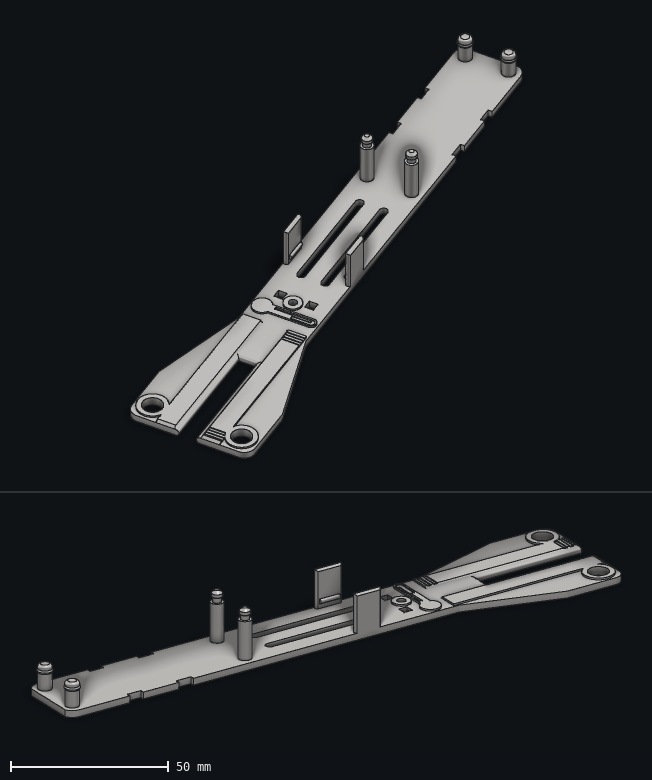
import cadquery as cq
import math

LENGTH = 204.9
PLATE_THICKNESS = 2.5
STRIP_HALF_WIDTH = 12.0
LEG_HALF_WIDTH = 22.1
TAPER_FRONT_Y = 22.1
TAPER_REAR_Y = 56.7
FRONT_CORNER_RADIUS = 3.9

NOTCH_SPANS = [(157.7, 163.3), (176.8, 182.0)]
NOTCH_DEPTH = 1.5

GAP_HALF_WIDTH = 4.3
GAP_END_Y = 41.4
EDGE_RADIUS = PLATE_THICKNESS / 2

RELIEF_HEIGHT = 0.6
RELIEF_TOP = PLATE_THICKNESS + RELIEF_HEIGHT
PAD_OUTER_X = 11.5
PAD_REAR_Y = 58.4
PAD_FRONT_SLOPE = 1.2
GROOVE_WIDTH = 1.2
GROOVE_DEPTH = 0.3
GROOVE_FRONT_YS = [1.8, 4.3, 53.7, 56.1]

LEG_HOLE_X = 16.0
LEG_HOLE_Y = 6.4
LEG_HOLE_DIAMETER = 7.0
LEG_RING_DIAMETER = 10.7

BOSS_Y = 70.7
BOSS_DIAMETER = 6.4
BOSS_HOLE_DIAMETER = 2.9
SQUARE_HOLE_SIZE = 3.0
SQUARE_HOLE_X = 5.5
SQUARE_HOLE_Y = 72.7
BULB_X = -8.0
BULB_Y = 65.0
BULB_DIAMETER = 7.0
STEM_WIDTH = 3.7
STEM_END_X = 11.5
STEM_RIM = 0.6
STEM_POCKET_X = 2.9
STEM_POCKET_DEPTH = 0.3
CHANNEL_START_X = -3.7
CHANNEL_END_X = 9.2
CHANNEL_WIDTH = 1.0

SLOT_X = 4.3
SLOT_WIDTH = 2.9
SLOT_FRONT_Y = 83.0
SLOT_REAR_Y = 125.0

TAB_THICKNESS = 1.8
TAB_FRONT_Y = 86.3
TAB_REAR_Y = 96.0
TAB_TOP = 16.0
TAB_CROWN = 0.6
BEAD_RADIUS = 0.8
BEAD_LENGTH = 7.4
BEAD_Z = 5.0

PIN_X = 8.0
PIN_Y = 135.5
PIN_DIAMETER = 4.5
PIN_SHOULDER_Z = 16.0
NECK_DIAMETER = 2.9
HEAD_DIAMETER = 3.7
HEAD_BOTTOM_Z = 17.8
HEAD_TOP_Z = 20.0
HEAD_CHAMFER = 1.0

POST_X = 7.8
POST_Y = 201.0
POST_DIAMETER = 4.7
POST_TOP = 11.0
POST_TOP_DIAMETER = 2.9
DOME_MIDDLE = (2.3, 10.5)
COLLAR_DIAMETER = 5.3
COLLAR_BOTTOM_Z = 8.2
COLLAR_TOP_Z = 9.5
REAR_CORNER_RADIUS = STRIP_HALF_WIDTH - POST_X


def box(x0, x1, y0, y1, z0, z1):
    return cq.Workplane("XY").box(x1 - x0, y1 - y0, z1 - z0, centered=False).translate((x0, y0, z0))


def cylinder(x, y, diameter, z0, z1):
    return cq.Workplane("XY", origin=(x, y, z0)).circle(diameter / 2).extrude(z1 - z0)


def both_sides(body):
    return body.union(body.mirror("YZ"))


def plate():
    rear_offset = LENGTH - POST_Y
    corner_x = POST_X + math.sqrt(REAR_CORNER_RADIUS**2 - rear_offset**2)
    middle_angle = math.atan2(rear_offset, corner_x - POST_X) / 2
    middle = (
        POST_X + REAR_CORNER_RADIUS * math.cos(middle_angle),
        POST_Y + REAR_CORNER_RADIUS * math.sin(middle_angle),
    )
    half = (
        cq.Workplane("XY")
        .moveTo(0, 0)
        .lineTo(LEG_HALF_WIDTH, 0)
        .lineTo(LEG_HALF_WIDTH, TAPER_FRONT_Y)
        .lineTo(STRIP_HALF_WIDTH, TAPER_REAR_Y)
        .lineTo(STRIP_HALF_WIDTH, POST_Y)
        .threePointArc(middle, (corner_x, LENGTH))
        .lineTo(0, LENGTH)
        .close()
        .extrude(PLATE_THICKNESS)
    )
    front_corner = cq.selectors.NearestToPointSelector((LEG_HALF_WIDTH, 0, PLATE_THICKNESS / 2))
    half = half.edges(front_corner).fillet(FRONT_CORNER_RADIUS)
    for front_y, rear_y in NOTCH_SPANS:
        notch_x = STRIP_HALF_WIDTH - NOTCH_DEPTH
        half = half.cut(box(notch_x, STRIP_HALF_WIDTH, front_y, rear_y, 0, PLATE_THICKNESS))
    half = half.cut(box(0, GAP_HALF_WIDTH, 0, GAP_END_Y, 0, PLATE_THICKNESS))
    side_edge = (
        cq.Workplane("XZ", origin=(GAP_HALF_WIDTH, 0, EDGE_RADIUS))
        .circle(EDGE_RADIUS)
        .extrude(-GAP_END_Y)
    )
    end_edge = (
        cq.Workplane("YZ", origin=(0, GAP_END_Y, EDGE_RADIUS))
        .circle(EDGE_RADIUS)
        .extrude(GAP_HALF_WIDTH)
    )
    return both_sides(half.union(side_edge).union(end_edge))


def leg_pad():
    inner_top_x = GAP_HALF_WIDTH + RELIEF_HEIGHT
    bend = RELIEF_HEIGHT * math.sqrt(0.5)
    pad = (
        cq.Workplane("XZ")
        .moveTo(GAP_HALF_WIDTH, PLATE_THICKNESS)
        .threePointArc(
            (GAP_HALF_WIDTH + bend, RELIEF_TOP - bend),
            (inner_top_x, RELIEF_TOP),
        )
        .lineTo(PAD_OUTER_X, RELIEF_TOP)
        .lineTo(PAD_OUTER_X, PLATE_THICKNESS)
        .close()
        .extrude(-PAD_REAR_Y)
    )
    front_slope = (
        cq.Workplane("YZ")
        .moveTo(0, PLATE_THICKNESS)
        .lineTo(PAD_FRONT_SLOPE, RELIEF_TOP)
        .lineTo(0, RELIEF_TOP)
        .close()
        .extrude(PAD_OUTER_X)
    )
    return pad.cut(front_slope)


def pad_grooves():
    grooves = cq.Workplane("XY")
    inner_x = GAP_HALF_WIDTH + RELIEF_HEIGHT
    floor_z = RELIEF_TOP - GROOVE_DEPTH
    for front_y in GROOVE_FRONT_YS:
        rear_y = front_y + GROOVE_WIDTH
        grooves = grooves.add(box(inner_x, PAD_OUTER_X, front_y, rear_y, floor_z, RELIEF_TOP))
    return grooves.combine()


def stem(start_x, end_x, width, z0, z1):
    radius = width / 2
    bar = box(start_x, end_x - radius, BULB_Y - radius, BULB_Y + radius, z0, z1)
    return bar.union(cylinder(end_x - radius, BULB_Y, width, z0, z1))


def bulb_relief():
    bulb = cylinder(BULB_X, BULB_Y, BULB_DIAMETER, PLATE_THICKNESS, RELIEF_TOP)
    bulb = bulb.union(stem(BULB_X, STEM_END_X, STEM_WIDTH, PLATE_THICKNESS, RELIEF_TOP))
    pocket_width = STEM_WIDTH - 2 * STEM_RIM
    pocket_end_x = STEM_END_X - STEM_RIM
    pocket = stem(STEM_POCKET_X, pocket_end_x, pocket_width, RELIEF_TOP - STEM_POCKET_DEPTH, RELIEF_TOP)
    channel_rear_y = BULB_Y + pocket_width / 2
    channel_front_y = channel_rear_y - CHANNEL_WIDTH
    channel = box(
        CHANNEL_START_X,
        CHANNEL_END_X,
        channel_front_y,
        channel_rear_y,
        PLATE_THICKNESS,
        RELIEF_TOP,
    )
    return bulb.cut(pocket).cut(channel)


def through_holes():
    holes = cylinder(0, BOSS_Y, BOSS_HOLE_DIAMETER, 0, RELIEF_TOP)
    leg_hole = cylinder(LEG_HOLE_X, LEG_HOLE_Y, LEG_HOLE_DIAMETER, 0, RELIEF_TOP)
    half_size = SQUARE_HOLE_SIZE / 2
    square_hole = box(
        SQUARE_HOLE_X - half_size,
        SQUARE_HOLE_X + half_size,
        SQUARE_HOLE_Y - half_size,
        SQUARE_HOLE_Y + half_size,
        0,
        RELIEF_TOP,
    )
    slot = (
        cq.Workplane("XY", origin=(SLOT_X, (SLOT_FRONT_Y + SLOT_REAR_Y) / 2, 0))
        .slot2D(SLOT_REAR_Y - SLOT_FRONT_Y, SLOT_WIDTH, 90)
        .extrude(PLATE_THICKNESS)
    )
    for hole in (leg_hole, square_hole, slot):
        holes = holes.union(both_sides(hole))
    return holes


def side_tab():
    inner_x = STRIP_HALF_WIDTH - TAB_THICKNESS
    middle_x = STRIP_HALF_WIDTH - TAB_THICKNESS / 2
    plan = (
        cq.Workplane("XY")
        .moveTo(inner_x, TAB_FRONT_Y + TAB_CROWN)
        .threePointArc((middle_x, TAB_FRONT_Y), (STRIP_HALF_WIDTH, TAB_FRONT_Y + TAB_CROWN))
        .lineTo(STRIP_HALF_WIDTH, TAB_REAR_Y - TAB_CROWN)
        .threePointArc((middle_x, TAB_REAR_Y), (inner_x, TAB_REAR_Y - TAB_CROWN))
        .close()
        .extrude(TAB_TOP)
    )
    profile = (
        cq.Workplane("XZ", origin=(0, TAB_FRONT_Y, 0))
        .moveTo(inner_x, 0)
        .lineTo(STRIP_HALF_WIDTH, 0)
        .lineTo(STRIP_HALF_WIDTH, TAB_TOP - TAB_CROWN)
        .threePointArc((middle_x, TAB_TOP), (inner_x, TAB_TOP - TAB_CROWN))
        .close()
        .extrude(TAB_FRONT_Y - TAB_REAR_Y)
    )
    tab = plan.intersect(profile)
    middle_y = (TAB_FRONT_Y + TAB_REAR_Y) / 2
    bead = (
        cq.Workplane("XZ", origin=(inner_x, middle_y, BEAD_Z))
        .circle(BEAD_RADIUS)
        .extrude(BEAD_LENGTH / 2, both=True)
    )
    return tab.union(bead)


def headed_pin():
    shaft = cylinder(PIN_X, PIN_Y, PIN_DIAMETER, 0, PIN_SHOULDER_Z)
    neck = cylinder(PIN_X, PIN_Y, NECK_DIAMETER, PIN_SHOULDER_Z, HEAD_BOTTOM_Z)
    head = cylinder(PIN_X, PIN_Y, HEAD_DIAMETER, HEAD_BOTTOM_Z, HEAD_TOP_Z)
    head = head.faces(">Z").edges().chamfer(HEAD_CHAMFER)
    return shaft.union(neck).union(head)


def rear_post():
    radius = POST_DIAMETER / 2
    profile = (
        cq.Workplane("XZ")
        .moveTo(0, 0)
        .lineTo(radius, 0)
        .lineTo(radius, COLLAR_BOTTOM_Z)
        .lineTo(COLLAR_DIAMETER / 2, (COLLAR_BOTTOM_Z + COLLAR_TOP_Z) / 2)
        .lineTo(radius, COLLAR_TOP_Z)
        .threePointArc(DOME_MIDDLE, (POST_TOP_DIAMETER / 2, POST_TOP))
        .lineTo(0, POST_TOP)
        .close()
    )
    return profile.revolve(360, (0, 0, 0), (0, 1, 0)).translate((POST_X, POST_Y, 0))


right_pad = leg_pad().cut(pad_grooves())
left_pad = leg_pad().mirror("YZ")
leg_ring = cylinder(LEG_HOLE_X, LEG_HOLE_Y, LEG_RING_DIAMETER, PLATE_THICKNESS, RELIEF_TOP)
boss = cylinder(0, BOSS_Y, BOSS_DIAMETER, PLATE_THICKNESS, RELIEF_TOP)

result = plate().union(right_pad).union(left_pad).union(boss).union(bulb_relief())
result = result.union(both_sides(leg_ring)).cut(through_holes())
for upright in (side_tab(), headed_pin(), rear_post()):
    result = result.union(both_sides(upright))